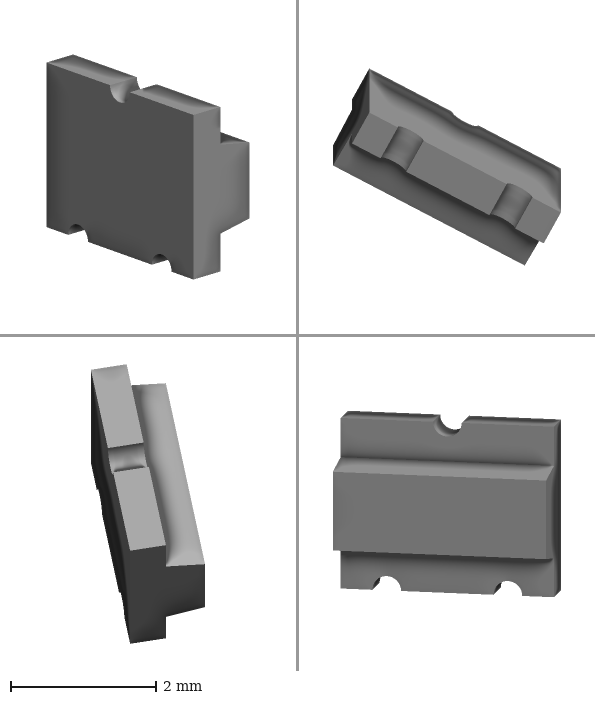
import cadquery as cq

board_length = 3.0
board_height = 2.4
board_thickness = 0.5

overall_depth = 1.05
lens_depth = overall_depth - board_thickness
lens_base_height = 1.3
lens_tip_height = 1.107

pad_width = 0.8
pad_height = 0.5
pad_thickness = 0.003
notch_radius = 0.2
lower_pad_offset = 0.852

front_y = 0.0
back_y = front_y + board_thickness
top_edge = board_height / 2
bottom_edge = -board_height / 2

pad_places = [
    (0.0, top_edge, -1),
    (-lower_pad_offset, bottom_edge, 1),
    (lower_pad_offset, bottom_edge, 1),
]


def plate(x, z, width, height, thickness):
    """Rectangular plate centred on (x, z), running from the front face toward +Y."""
    return cq.Workplane("XY", origin=(x, front_y, z)).box(
        width, thickness, height, centered=(True, False, True)
    )


def make_notch(x, edge_z):
    """Round cutter through the board thickness, centred on a board edge."""
    return (
        cq.Workplane("XZ", origin=(x, front_y, edge_z))
        .circle(notch_radius)
        .extrude(-board_thickness)
    )


def make_pad_blank(x, edge_z, inward):
    """Pad before notching; also the shape of its recess in the board."""
    return plate(x, edge_z + inward * pad_height / 2, pad_width, pad_height, pad_thickness)


def make_pad(x, edge_z, inward):
    """Thin solder pad with its half-round notch."""
    return make_pad_blank(x, edge_z, inward).cut(make_notch(x, edge_z))


def make_board():
    """Flat board with a recess and a through notch at every pad."""
    board = plate(0, 0, board_length, board_height, board_thickness)
    for x, edge_z, inward in pad_places:
        board = board.cut(make_pad_blank(x, edge_z, inward))
        board = board.cut(make_notch(x, edge_z))
    return board


def make_lens():
    """Trapezoid in the YZ plane, extruded along the whole board length."""
    tip_y = back_y + lens_depth
    return (
        cq.Workplane("YZ")
        .polyline([
            (back_y, -lens_base_height / 2),
            (tip_y, -lens_tip_height / 2),
            (tip_y, lens_tip_height / 2),
            (back_y, lens_base_height / 2),
        ])
        .close()
        .extrude(board_length / 2, both=True)
    )


board = make_board()
lens = make_lens()
pads = [make_pad(*place) for place in pad_places]

result = cq.Compound.makeCompound([
    board.val(),
    lens.val(),
    *[pad.val() for pad in pads],
])